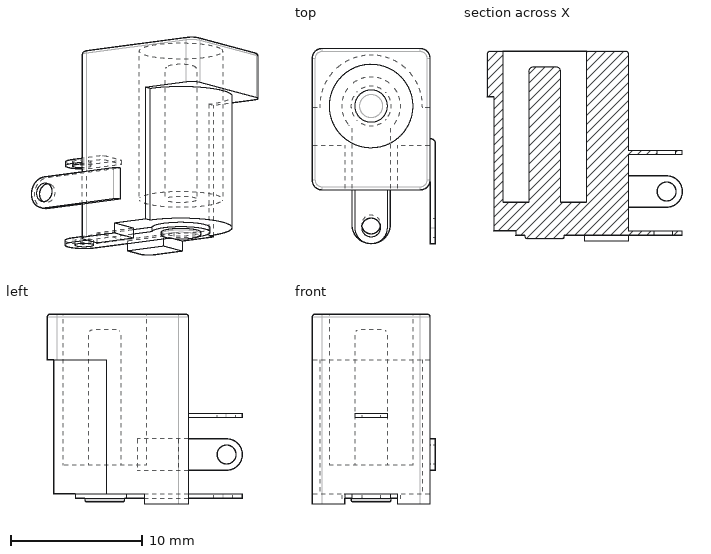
import cadquery as cq

body_width = 9.0
body_depth = 10.8
body_height = 14.5
corner_radius = 0.76
top_edge_radius = 0.24
cap_height = 3.5
foot_depth = 3.38
foot_height = 0.77
notch_width = 4.0

axis_to_back = 4.4
axis_y = body_depth - axis_to_back
barrel_radius = 3.9
flank_depth = 6.29
bore_radius = 3.19
bore_floor_z = 2.98
pin_radius = 1.24
pin_edge_radius = 0.36
pin_recess = 1.19

terminal_reach = 4.1
terminal_hole_radius = 0.72
embed = 0.15
upper_width = 2.47
upper_thickness = 0.31
upper_z = 6.6
lower_width = 2.95
lower_thickness = 0.35
lower_z = foot_height - lower_thickness
disc_radius = 2.24
side_width = 2.41
side_thickness = 0.4
side_z = 3.78
side_back_y = 3.92
side_bend_radius = 0.36

rivet_radius = 1.52
rivet_height = 0.27
rivet_edge_radius = 0.15


def cylinder(radius, bottom_z, top_z):
    """Vertical cylinder on the socket axis."""
    return cq.Workplane("XY", origin=(0, axis_y, bottom_z)).circle(radius).extrude(top_z - bottom_z)


def box(width, front_y, back_y, bottom_z, top_z):
    """Block centred on X."""
    size = (width, back_y - front_y, top_z - bottom_z)
    return cq.Workplane("XY", origin=(0, front_y, bottom_z)).box(*size, centered=(True, False, False))


def make_housing():
    housing = box(body_width, 0, body_depth, 0, body_height)
    housing = housing.edges("|Z").fillet(corner_radius)
    housing = housing.faces(">Z").edges().fillet(top_edge_radius)

    cap_bottom_z = body_height - cap_height
    housing = housing.cut(box(body_width, flank_depth, body_depth, 0, cap_bottom_z))
    housing = housing.union(cylinder(barrel_radius, foot_height, cap_bottom_z))

    housing = housing.cut(box(body_width, foot_depth, body_depth, 0, foot_height))
    housing = housing.cut(box(notch_width, 0, foot_depth, 0, foot_height))

    return housing.cut(cylinder(bore_radius, bore_floor_z, body_height))


def make_pin():
    pin = cylinder(pin_radius, bore_floor_z - embed, body_height - pin_recess)
    return pin.faces(">Z").edges().fillet(pin_edge_radius)


def make_tab(width, thickness, back_y):
    """Flat tab on Z = 0 with a round, drilled front end."""
    radius = width / 2
    eye_y = radius - terminal_reach
    tab = (
        cq.Workplane("XY")
        .moveTo(-radius, back_y)
        .lineTo(-radius, eye_y)
        .threePointArc((0, -terminal_reach), (radius, eye_y))
        .lineTo(radius, back_y)
        .close()
        .extrude(thickness)
    )
    hole = cq.Workplane("XY").center(0, eye_y).circle(terminal_hole_radius).extrude(thickness)
    return tab.cut(hole)


def make_upper_terminal():
    return make_tab(upper_width, upper_thickness, embed).translate((0, 0, upper_z))


def make_lower_terminal():
    tab = make_tab(lower_width, lower_thickness, axis_y).translate((0, 0, lower_z))
    disc = cylinder(disc_radius, lower_z, foot_height)
    rivet = cylinder(rivet_radius, lower_z - rivet_height, lower_z)
    rivet = rivet.faces("<Z").edges().fillet(rivet_edge_radius)
    return tab.union(disc).union(rivet)


def make_side_terminal():
    tab = make_tab(side_width, side_thickness, side_back_y)
    tab = tab.faces(">Y").edges(">Z").fillet(side_bend_radius)
    tab = tab.rotate((0, 0, 0), (0, 1, 0), 90)
    return tab.translate((body_width / 2, 0, side_z))


result = (
    make_housing()
    .union(make_pin())
    .union(make_upper_terminal())
    .union(make_lower_terminal())
    .union(make_side_terminal())
)